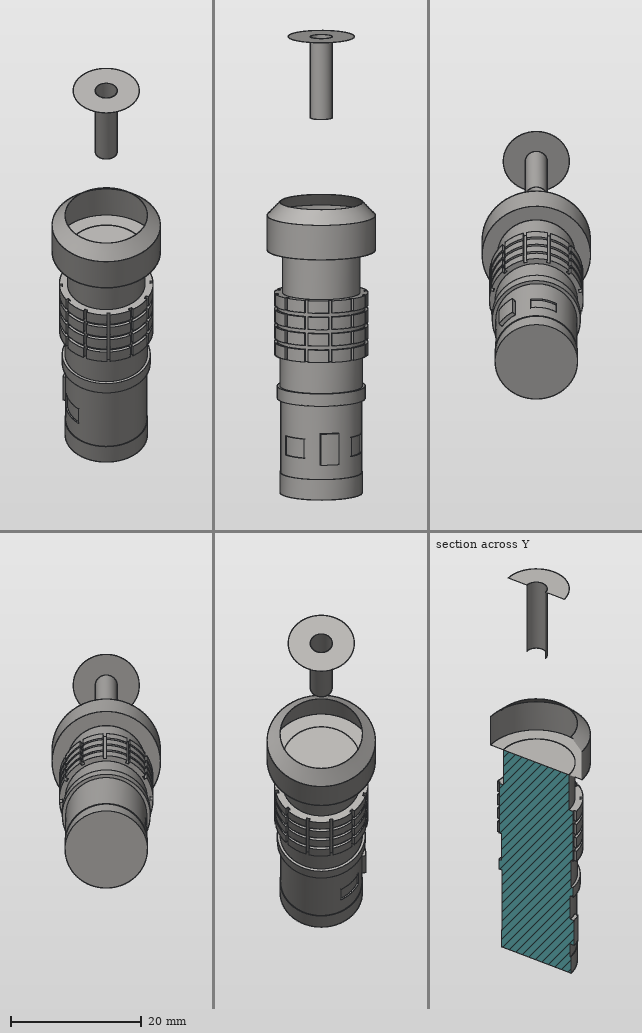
import cadquery as cq

TOTAL_HEIGHT = 71.2

FOOT_DIA = 12.7
FOOT_TOP = 3.2
BARREL_DIA = 12.45
COLLAR_DIA = 13.5
COLLAR_BOTTOM = 14.75
COLLAR_TOP = 16.65
WAIST_DIA = 12.7
NECK_DIA = 11.95
HEAD_DIA = 16.65
HEAD_RIM_DIA = 12.7
HEAD_BOTTOM = 37.9
HEAD_TOP = 45.35
HEAD_SHOULDER = 43.3

HEAD_WALL = 0.035
NECK_END_RISE = 0.035

GRIP_DIA = 14.4
GRIP_FLOOR_DIA = 13.45
GRIP_BOTTOM = 21.65
GRIP_RING_COUNT = 4
GRIP_PITCH = 2.55
RING_GROOVE = 0.65
LONG_GROOVE = 0.5
GRIP_TOP = GRIP_BOTTOM + GRIP_RING_COUNT * GRIP_PITCH - RING_GROOVE
LONG_GROOVE_COUNT = 12

KEY_DIA = 13.75
KEY_WIDTH = 2.85
KEY_HEIGHT = 4.85
KEY_BOTTOM = 5.55

WINDOW_FLOOR_DIA = 11.95
WINDOW_WIDTH = 4.0
WINDOW_HEIGHT = 3.0
WINDOW_BOTTOM = 6.4
WINDOW_ANGLE_FROM_KEY = 55.0

FLANGE_DIA = 10.2
SLEEVE_DIA = 3.4
SLEEVE_BOTTOM = 58.5
SLEEVE_WALL = 0.035


def disc(diameter, bottom, top):
    """Upright cylinder on the Z axis."""
    return cq.Workplane("XY").workplane(offset=bottom).circle(diameter / 2).extrude(top - bottom)


def ring(outer_diameter, inner_diameter, bottom, top):
    """Upright round ring on the Z axis."""
    return disc(outer_diameter, bottom, top).cut(disc(inner_diameter, bottom, top))


def radial_bar(width, bottom, height, angle):
    """Rectangular bar reaching outward from the Z axis at an angle from +X."""
    bar = cq.Workplane("XY").box(HEAD_DIA, width, height, centered=(False, True, False))
    return bar.translate((0, 0, bottom)).rotate((0, 0, 0), (0, 0, 1), angle)


def make_head_cup():
    """Thin round cup whose wall tapers inward to an open rim."""
    cup_radius = HEAD_DIA / 2
    rim_radius = HEAD_RIM_DIA / 2
    profile = (
        cq.Workplane("XZ")
        .moveTo(0, HEAD_BOTTOM)
        .lineTo(cup_radius, HEAD_BOTTOM)
        .lineTo(cup_radius, HEAD_SHOULDER)
        .lineTo(rim_radius, HEAD_TOP)
        .lineTo(rim_radius - HEAD_WALL, HEAD_TOP)
        .lineTo(cup_radius - HEAD_WALL, HEAD_SHOULDER)
        .lineTo(cup_radius - HEAD_WALL, HEAD_BOTTOM + HEAD_WALL)
        .lineTo(0, HEAD_BOTTOM + HEAD_WALL)
        .close()
    )
    return profile.revolve(360, (0, 0, 0), (0, 1, 0))


def make_stepped_body():
    """Plain turned shape of the housing."""
    body = disc(FOOT_DIA, 0, FOOT_TOP)
    body = body.union(disc(BARREL_DIA, FOOT_TOP, COLLAR_BOTTOM))
    body = body.union(disc(COLLAR_DIA, COLLAR_BOTTOM, COLLAR_TOP))
    body = body.union(disc(WAIST_DIA, COLLAR_TOP, GRIP_BOTTOM))
    body = body.union(disc(GRIP_DIA, GRIP_BOTTOM, GRIP_TOP))
    body = body.union(disc(NECK_DIA, GRIP_TOP, HEAD_BOTTOM))
    body = body.union(make_head_cup())
    floor_height = HEAD_BOTTOM + HEAD_WALL
    return body.union(disc(NECK_DIA, floor_height, floor_height + NECK_END_RISE))


def cut_grip_grooves(body):
    """Divide the grip into blocks."""
    for index in range(1, GRIP_RING_COUNT):
        groove_top = GRIP_BOTTOM + index * GRIP_PITCH
        body = body.cut(ring(GRIP_DIA, GRIP_FLOOR_DIA, groove_top - RING_GROOVE, groove_top))
    grip_shell = ring(GRIP_DIA, GRIP_FLOOR_DIA, GRIP_BOTTOM, GRIP_TOP)
    for index in range(LONG_GROOVE_COUNT):
        angle = index * 360 / LONG_GROOVE_COUNT
        bar = radial_bar(LONG_GROOVE, GRIP_BOTTOM, GRIP_TOP - GRIP_BOTTOM, angle)
        body = body.cut(grip_shell.intersect(bar))
    return body


def add_key(body):
    """Raise the key rib on the -X side."""
    key = disc(KEY_DIA, KEY_BOTTOM, KEY_BOTTOM + KEY_HEIGHT)
    return body.union(key.intersect(radial_bar(KEY_WIDTH, KEY_BOTTOM, KEY_HEIGHT, 180)))


def cut_windows(body):
    """Sink the two shallow windows beside the key."""
    window_shell = ring(BARREL_DIA, WINDOW_FLOOR_DIA, WINDOW_BOTTOM, WINDOW_BOTTOM + WINDOW_HEIGHT)
    for side in (-1, 1):
        angle = 180 + side * WINDOW_ANGLE_FROM_KEY
        bar = radial_bar(WINDOW_WIDTH, WINDOW_BOTTOM, WINDOW_HEIGHT, angle)
        body = body.cut(window_shell.intersect(bar))
    return body


def make_housing():
    body = make_stepped_body()
    body = cut_grip_grooves(body)
    body = add_key(body)
    return cut_windows(body)


def make_flanged_sleeve():
    flange = disc(FLANGE_DIA, TOTAL_HEIGHT - SLEEVE_WALL, TOTAL_HEIGHT)
    tube = disc(SLEEVE_DIA, SLEEVE_BOTTOM, TOTAL_HEIGHT)
    bore = disc(SLEEVE_DIA - 2 * SLEEVE_WALL, SLEEVE_BOTTOM, TOTAL_HEIGHT)
    return flange.union(tube).cut(bore)


housing = make_housing()
flanged_sleeve = make_flanged_sleeve()

result = cq.Compound.makeCompound([housing.val(), flanged_sleeve.val()])